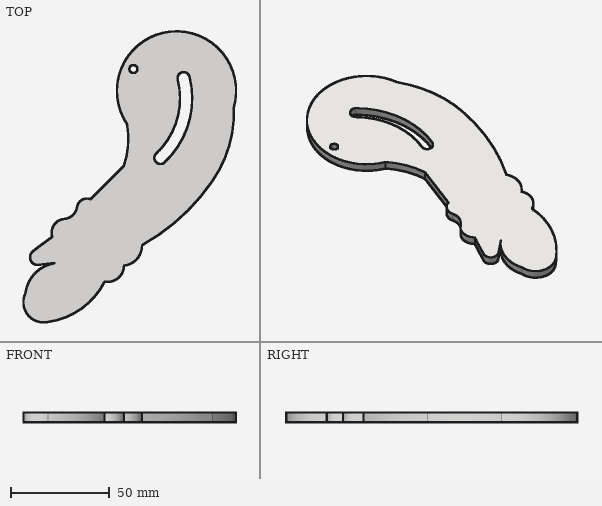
import cadquery as cq
import math


thickness = 5.0
head_radius = 30.2

eye_center = (-21.8, 11.0)
eye_diameter = 4.0

slot_center = (-36.4, -3.8)
slot_radius = 41.2
slot_width = 6.0
slot_start_angle = -46.8
slot_end_angle = 14.4

inner_side_angle = 135
outer_side_angle = inner_side_angle - 180

neck_angle = 213.9
neck_mid = (-24.5, -25.8)
elbow = (-26.7, -37.9)

upper_bump_center = (-45.2, -59.5)
upper_bump_radius = 5.2
upper_bump_start_angle = 70

lower_bump_center = (-56.1, -71.7)
lower_bump_radius = 7.0
lower_bump_end_angle = 197

valley_radius = 7.2

thumb_tip_center = (-70.1, -84.1)
thumb_tip_radius = 4.0
thumb_tip_start_angle = 122
thumb_tip_end_angle = 266
thumb_tip_mid_angle = (thumb_tip_start_angle + thumb_tip_end_angle) / 2
thumb_back_mid = (-67.8, -77.3)
thumb_crotch = (-61.5, -87.0)

hand_inner_mid = (-72.8, -93.5)
hand_tip_center = (-67.2, -106.8)
hand_tip_radius = 10.3
hand_tip_start_angle = 154
hand_tip_end_angle = 282
hand_tip_mid_angle = (hand_tip_start_angle + hand_tip_end_angle) / 2
hand_outer_mid = (-48.3, -110.3)

hand_bump_center = (-34.8, -88.5)
hand_bump_radius = 8.1
hand_bump_start_angle = 259
wrist_bump_center = (-27.5, -78.2)
wrist_bump_radius = 10.2
bump_notch = (-26.5, -88.4)
wrist_bump_end_angle = 1

forearm_mid = (2.2, -63.9)
outer_elbow = (18.1, -45.7)
upper_arm_mid = (27.1, -26.2)
shoulder_angle = -15.8


def polar(center, radius, angle):
    """Point on a circle, at an angle in degrees from +X."""
    turn = math.radians(angle)
    return (center[0] + radius * math.cos(turn), center[1] + radius * math.sin(turn))


def toward(start, target, distance):
    """Point at a distance from start on the way to target."""
    share = distance / math.dist(start, target)
    return (
        start[0] + share * (target[0] - start[0]),
        start[1] + share * (target[1] - start[1]),
    )


def outer_blend_center(center_a, radius_a, center_b, radius_b, blend_radius):
    """Centre of the blend touching circles a and b, on the right going from a to b."""
    reach_a = radius_a + blend_radius
    reach_b = radius_b + blend_radius
    span = math.dist(center_a, center_b)
    along = (reach_a**2 - reach_b**2 + span**2) / (2 * span)
    aside = math.sqrt(reach_a**2 - along**2)
    foot = toward(center_a, center_b, along)
    unit_x = (center_b[0] - center_a[0]) / span
    unit_y = (center_b[1] - center_a[1]) / span
    return (foot[0] + aside * unit_y, foot[1] - aside * unit_x)


def build_plate():
    origin = (0, 0)
    neck = polar(origin, head_radius, neck_angle)
    shoulder = polar(origin, head_radius, shoulder_angle)

    valley_center = outer_blend_center(
        upper_bump_center, upper_bump_radius, lower_bump_center, lower_bump_radius, valley_radius
    )
    bump_midpoint = toward(
        upper_bump_center, lower_bump_center, math.dist(upper_bump_center, lower_bump_center) / 2
    )

    outline = (
        cq.Workplane("XY")
        .moveTo(*neck)
        .threePointArc(neck_mid, elbow)
        .lineTo(*polar(upper_bump_center, upper_bump_radius, upper_bump_start_angle))
        .threePointArc(
            polar(upper_bump_center, upper_bump_radius, inner_side_angle),
            toward(upper_bump_center, valley_center, upper_bump_radius),
        )
        .threePointArc(
            toward(valley_center, bump_midpoint, valley_radius),
            toward(lower_bump_center, valley_center, lower_bump_radius),
        )
        .threePointArc(
            polar(lower_bump_center, lower_bump_radius, inner_side_angle),
            polar(lower_bump_center, lower_bump_radius, lower_bump_end_angle),
        )
        .threePointArc(
            thumb_back_mid,
            polar(thumb_tip_center, thumb_tip_radius, thumb_tip_start_angle),
        )
        .threePointArc(
            polar(thumb_tip_center, thumb_tip_radius, thumb_tip_mid_angle),
            polar(thumb_tip_center, thumb_tip_radius, thumb_tip_end_angle),
        )
        .lineTo(*thumb_crotch)
        .threePointArc(
            hand_inner_mid,
            polar(hand_tip_center, hand_tip_radius, hand_tip_start_angle),
        )
        .threePointArc(
            polar(hand_tip_center, hand_tip_radius, hand_tip_mid_angle),
            polar(hand_tip_center, hand_tip_radius, hand_tip_end_angle),
        )
        .threePointArc(
            hand_outer_mid,
            polar(hand_bump_center, hand_bump_radius, hand_bump_start_angle),
        )
        .threePointArc(polar(hand_bump_center, hand_bump_radius, outer_side_angle), bump_notch)
        .threePointArc(
            polar(wrist_bump_center, wrist_bump_radius, outer_side_angle),
            polar(wrist_bump_center, wrist_bump_radius, wrist_bump_end_angle),
        )
        .threePointArc(forearm_mid, outer_elbow)
        .threePointArc(upper_arm_mid, shoulder)
        .threePointArc((0, head_radius), neck)
        .close()
    )
    return outline.extrude(thickness)


def build_eye():
    return cq.Workplane("XY").center(*eye_center).circle(eye_diameter / 2).extrude(thickness)


def build_slot():
    """Curved slot with round ends, following an arc about slot_center."""
    inner = slot_radius - slot_width / 2
    outer = slot_radius + slot_width / 2
    mid_angle = (slot_start_angle + slot_end_angle) / 2
    cap_turn = math.degrees(slot_width / 2 / slot_radius)
    return (
        cq.Workplane("XY")
        .moveTo(*polar(slot_center, inner, slot_start_angle))
        .threePointArc(
            polar(slot_center, inner, mid_angle), polar(slot_center, inner, slot_end_angle)
        )
        .threePointArc(
            polar(slot_center, slot_radius, slot_end_angle + cap_turn),
            polar(slot_center, outer, slot_end_angle),
        )
        .threePointArc(
            polar(slot_center, outer, mid_angle), polar(slot_center, outer, slot_start_angle)
        )
        .threePointArc(
            polar(slot_center, slot_radius, slot_start_angle - cap_turn),
            polar(slot_center, inner, slot_start_angle),
        )
        .close()
        .extrude(thickness)
    )


result = build_plate().cut(build_eye()).cut(build_slot())